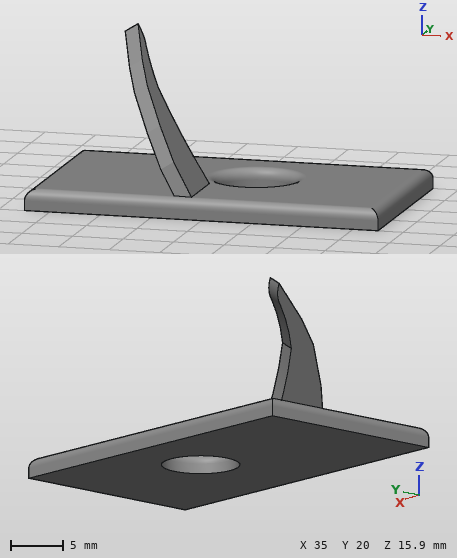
import cadquery as cq
import math

plate_length = 35.0
plate_width = 20.0
plate_thickness = 2.0
edge_radius = 1.0

hole_diameter = 7.5
hole_x = 2.35
hole_y = 1.5

total_height = 15.9
fin_thickness = 1.5
fin_lean = 32.0
fin_base_x = -1.25
fin_root_depth = 1.05
fin_length = (total_height - plate_thickness) / math.cos(math.radians(fin_lean))

fin_tip = (3.55, fin_length)
front_base = (-8.9, 0.0)
front_corners = [(-8.12, 3.7), (-6.12, 7.28), (-3.32, 11.13), (-0.77, 13.37)]
tip_arc_mid = (3.15, 15.15)
tip_arc_end = (2.38, 14.28)
neck_arc_mid = (0.42, 12.18)
neck_arc_end = (-0.88, 10.32)
back_arc_mid = (-1.9, 6.25)
back_base = (-2.4, 0.0)


def make_plate():
    """Plate with rounded upper edges and a hole with a rounded rim."""
    plate = cq.Workplane("XY").box(
        plate_length, plate_width, plate_thickness, centered=(True, True, False)
    )
    hole = (
        cq.Workplane("XY")
        .center(hole_x, hole_y)
        .circle(hole_diameter / 2)
        .extrude(plate_thickness)
    )
    return plate.cut(hole).faces(">Z").edges().fillet(edge_radius)


def make_fin():
    """Blade drawn on its leaning upper face and thickened toward its underside."""
    lean = math.radians(fin_lean)
    upper_face = cq.Plane(
        origin=(fin_base_x, 0, plate_thickness),
        xDir=(0, 1, 0),
        normal=(math.cos(lean), 0, math.sin(lean)),
    )
    return (
        cq.Workplane(upper_face)
        .moveTo(front_base[0], -fin_root_depth)
        .lineTo(*front_base)
        .polyline(front_corners + [fin_tip], includeCurrent=True)
        .threePointArc(tip_arc_mid, tip_arc_end)
        .threePointArc(neck_arc_mid, neck_arc_end)
        .threePointArc(back_arc_mid, back_base)
        .lineTo(back_base[0], -fin_root_depth)
        .close()
        .extrude(-fin_thickness)
    )


result = make_plate().union(make_fin())